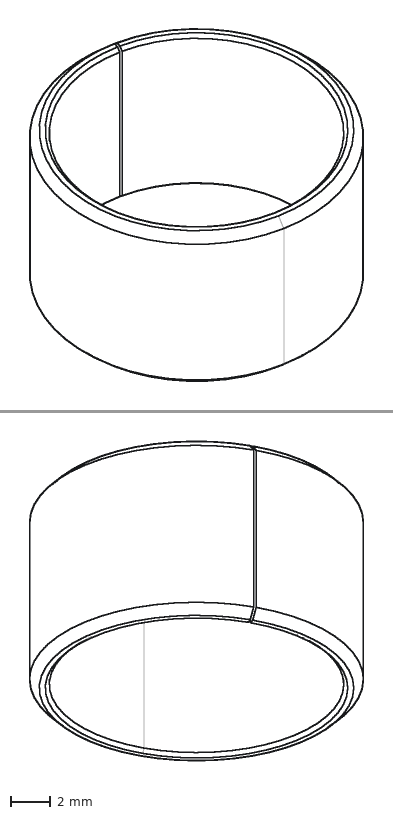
import cadquery as cq

outer_diameter = 17.0
length = 10.0
wall = 1.0
outer_chamfer = 0.5
inner_chamfer = 0.2
slit_width = 0.14

outer_radius = outer_diameter / 2
inner_radius = outer_radius - wall


def sleeve():
    """Hollow cylinder with both rims chamfered outside and inside."""
    profile = [
        (inner_radius + inner_chamfer, 0),
        (outer_radius - outer_chamfer, 0),
        (outer_radius, outer_chamfer),
        (outer_radius, length - outer_chamfer),
        (outer_radius - outer_chamfer, length),
        (inner_radius + inner_chamfer, length),
        (inner_radius, length - inner_chamfer),
        (inner_radius, inner_chamfer),
    ]
    return cq.Workplane("XZ").polyline(profile).close().revolve(360, (0, 0, 0), (0, 1, 0))


def slit():
    """Full-length cutter reaching from the axis out past the -X wall, with one face on the XZ plane."""
    return cq.Workplane("XY").box(
        outer_diameter, slit_width, length, centered=(True, False, False)
    ).translate((-outer_radius, 0, 0))


result = sleeve().cut(slit())